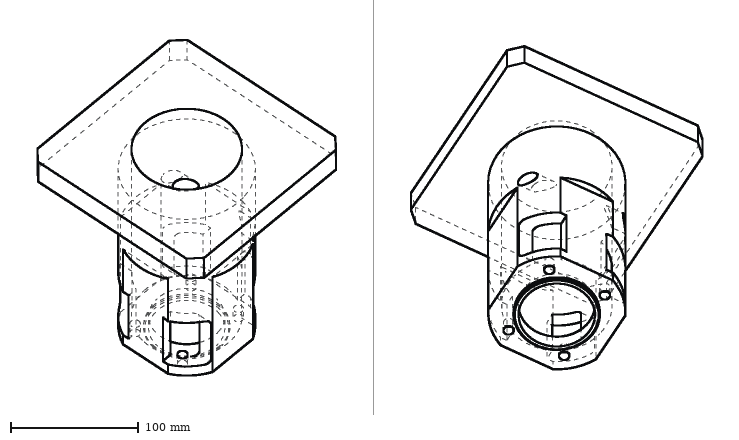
import cadquery as cq

PLATE_SIDE = 176.0
PLATE_THICKNESS = 23.0
PLATE_CORNER_CHAMFER = 10.0
TOTAL_HEIGHT = 206.5
PLATE_BOTTOM = TOTAL_HEIGHT - PLATE_THICKNESS

BODY_DIAMETER = 108.0
BORE_DIAMETER = 87.0
WIDTH_ACROSS_FLATS = 97.0
FLAT_TOP_DEPTH = 94.0
FLAT_TOP = TOTAL_HEIGHT - FLAT_TOP_DEPTH

SPIGOT_DIAMETER = 68.0
SPIGOT_HEIGHT = 3.0
SPIGOT_CHAMFER = 1.0
OPENING_DIAMETER = 60.0
FLOOR_THICKNESS = 10.75
FLOOR_TOP = SPIGOT_HEIGHT + FLOOR_THICKNESS

WINDOW_HEIGHT = 50.0
WINDOW_INNER_X = 18.0
WINDOW_INNER_Y = 25.0
WINDOW_FILLET = 5.0

SCREW_HOLE_DIAMETER = 8.2
SCREW_SPACING_X = 50.0
SCREW_SPACING_Y = 66.0

CROSS_HOLE_DIAMETER = 14.0
CROSS_HOLE_Y = 31.0
CROSS_HOLE_DEPTH = 88.0
CROSS_HOLE_Z = TOTAL_HEIGHT - CROSS_HOLE_DEPTH


def cylinder(diameter, bottom, top):
    """Vertical cylinder on the part axis."""
    return cq.Workplane("XY").workplane(offset=bottom).circle(diameter / 2).extrude(top - bottom)


def make_plate():
    """Square top plate with chamfered corners."""
    plate = cq.Workplane("XY").workplane(offset=PLATE_BOTTOM).rect(PLATE_SIDE, PLATE_SIDE)
    return plate.extrude(PLATE_THICKNESS).edges("|Z").chamfer(PLATE_CORNER_CHAMFER)


def make_body():
    """Round body whose lower part carries four flats."""
    upper = cylinder(BODY_DIAMETER, FLAT_TOP, PLATE_BOTTOM)
    lower = cylinder(BODY_DIAMETER, SPIGOT_HEIGHT, FLAT_TOP)
    flats = (
        cq.Workplane("XY")
        .workplane(offset=SPIGOT_HEIGHT)
        .rect(WIDTH_ACROSS_FLATS, WIDTH_ACROSS_FLATS)
        .extrude(FLAT_TOP - SPIGOT_HEIGHT)
    )
    return upper.union(lower.intersect(flats))


def make_spigot():
    """Short locating spigot below the floor with a chamfered end."""
    return cylinder(SPIGOT_DIAMETER, 0, SPIGOT_HEIGHT).faces("<Z").edges().chamfer(SPIGOT_CHAMFER)


def make_window(x_side, y_side):
    """Corner cutter; the edges on its inner Y wall are rounded."""
    reach = BODY_DIAMETER / 2
    length_x = reach - WINDOW_INNER_X
    length_y = reach - WINDOW_INNER_Y
    centre = (
        x_side * (WINDOW_INNER_X + length_x / 2),
        y_side * (WINDOW_INNER_Y + length_y / 2),
        FLOOR_TOP + WINDOW_HEIGHT / 2,
    )
    block = cq.Workplane("XY").box(length_x, length_y, WINDOW_HEIGHT)
    inner_face = "<Y" if y_side > 0 else ">Y"
    return block.faces(inner_face).edges("|X").fillet(WINDOW_FILLET).translate(centre)


def make_screw_holes():
    """Cutters for four screw holes on the corners of a rectangle."""
    return (
        cq.Workplane("XY")
        .workplane(offset=SPIGOT_HEIGHT)
        .rect(SCREW_SPACING_X, SCREW_SPACING_Y, forConstruction=True)
        .vertices()
        .circle(SCREW_HOLE_DIAMETER / 2)
        .extrude(FLOOR_THICKNESS)
    )


def make_cross_hole():
    """Hole parallel to X that breaks into the bore through both walls."""
    return (
        cq.Workplane("YZ")
        .center(CROSS_HOLE_Y, CROSS_HOLE_Z)
        .circle(CROSS_HOLE_DIAMETER / 2)
        .extrude(BODY_DIAMETER / 2, both=True)
    )


result = make_plate().union(make_body()).union(make_spigot())
result = result.cut(cylinder(BORE_DIAMETER, FLOOR_TOP, TOTAL_HEIGHT))
result = result.cut(cylinder(OPENING_DIAMETER, 0, FLOOR_TOP))
for x_side in (-1, 1):
    for y_side in (-1, 1):
        result = result.cut(make_window(x_side, y_side))
result = result.cut(make_screw_holes()).cut(make_cross_hole())